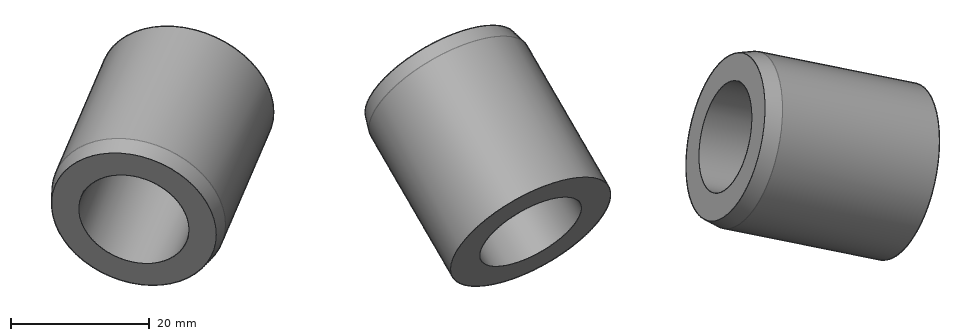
import cadquery as cq
import math

length = 28.0
outer_diameter = 26.0
bore_diameter = 16.5
lead_in_length = 2.5
lead_in_angle = 15.0

outer_radius = outer_diameter / 2
bore_radius = bore_diameter / 2
lead_in_radius = outer_radius - lead_in_length * math.tan(math.radians(lead_in_angle))

wall_section = (
    cq.Workplane("XY")
    .moveTo(bore_radius, 0)
    .lineTo(lead_in_radius, 0)
    .lineTo(outer_radius, lead_in_length)
    .lineTo(outer_radius, length)
    .lineTo(bore_radius, length)
    .close()
)

result = wall_section.revolve(360, (0, 0, 0), (0, 1, 0))